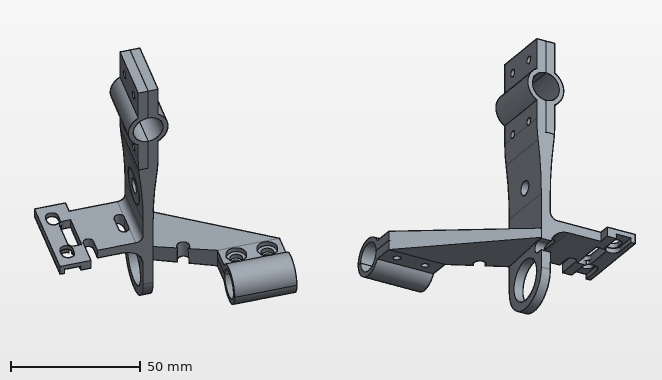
import cadquery as cq
import math


plate_width = 25.0
plate_thickness = 4.0
ring_bore = 17.5
half_width = plate_width / 2
half_thickness = plate_thickness / 2
total_height = 111.8
plate_top = total_height - half_width

head_thickness = 2 * plate_thickness
half_head = head_thickness / 2
flare_start = 32.2
flare_bend = 55.3
flare_end = 64.5

flare_share = (flare_bend - flare_start) / (flare_end - flare_start)
flare_growth = half_head - half_thickness

tube_bore = 12.0
tube_outer = 16.0
screw_hole = 3.0
screw_spacing = 12.5
head_tube_z = 79.4
head_screw_offset = 13.4
head_cap_bottom = 59.5

seat_diameter = 15.0
seat_hole = 6.0
seat_z = 40.1

shelf_top = 22.1
shelf_bottom = shelf_top - plate_thickness
front_y = -37.0
bar_length = 35.0
bar_depth = 12.5
upper_fillet = 3.0
lower_fillet = 8.0
bar_back_y = front_y + bar_depth

tie_slot_length = 10.3
tie_slot_width = 4.0
side_notch_width = 4.0
side_notch_depth = 7.5
window_length = 15.0
window_depth = 5.0
window_front_y = -30.4
window_corner = 2.0
oval_length = 7.0
oval_width = 5.0
oval_x = 10.0
oval_y = -31.9
recess_width = 6.5
recess_depth = 2.0
recess_end_x = 9.3

notch_width = 5.0
plate_notch_depth = 5.0
arm_notch_x = 15.6
arm_notch_y = 13.2

arm_end_y = 50.1
arm_block_x = 22.2
arm_tube_x = 38.1
arm_z = 15.0
arm_screw_x = 26.7
arm_seat_diameter = 8.0
arm_seat_depth = 2.0
arm_pocket_diameter = 5.0
arm_block_front_y = arm_end_y - plate_width
arm_screw_y = arm_end_y - half_width

arm_start_half = half_thickness
arm_end_half = half_head
arm_tilt = math.atan2(arm_end_half - arm_start_half, arm_block_x + half_width)


def box(x_range, y_range, z_range):
    """Box between the given limits."""
    sizes = [high - low for low, high in (x_range, y_range, z_range)]
    corner = (x_range[0], y_range[0], z_range[0])
    return cq.Workplane(cq.Solid.makeBox(*sizes, cq.Vector(*corner)))


def cylinder(diameter, start, direction, length):
    """Round bar from a start point along a direction."""
    return cq.Workplane(
        cq.Solid.makeCylinder(diameter / 2, length, cq.Vector(*start), cq.Vector(*direction))
    )


def slot(length, width, x, y, z_range):
    """Round-ended slot along X, cut vertically."""
    low, high = z_range
    return (
        cq.Workplane("XY", origin=(x, y, low))
        .slot2D(length, width)
        .extrude(high - low)
    )


def plate():
    """Plate with rounded foot and flared head, extruded from one profile in YZ."""
    bend_y = half_thickness + flare_share * flare_growth
    profile = (
        cq.Workplane("YZ", origin=(-half_width, 0, 0))
        .moveTo(-half_thickness, -half_width)
        .lineTo(half_thickness, -half_width)
        .lineTo(half_thickness, flare_start)
        .tangentArcPoint((bend_y, flare_bend), relative=False)
        .tangentArcPoint((half_head, flare_end), relative=False)
        .lineTo(half_head, plate_top)
        .lineTo(-half_head, plate_top)
        .lineTo(-half_head, flare_end)
        .tangentArcPoint((-bend_y, flare_bend), relative=False)
        .tangentArcPoint((-half_thickness, flare_start), relative=False)
        .close()
        .extrude(plate_width)
    )
    below_ring = box((-half_width, half_width), (-half_thickness, half_thickness), (-half_width, 0))
    foot = cylinder(plate_width, (0, -half_thickness, 0), (0, 1, 0), plate_thickness)
    tube = cylinder(tube_outer, (-half_width, 0, head_tube_z), (1, 0, 0), plate_width)
    return profile.cut(below_ring).union(foot).union(tube)


def plate_openings():
    """Ring bore, round seat with its hole and the cable notch in the left edge."""
    reach = head_thickness
    ring = cylinder(ring_bore, (0, -reach, 0), (0, 1, 0), 2 * reach)
    seat = cylinder(seat_diameter, (0, -half_thickness, seat_z), (0, -1, 0), reach)
    hole = cylinder(seat_hole, (0, -reach, seat_z), (0, 1, 0), 2 * reach)
    notch_z = shelf_bottom - lower_fillet
    notch = (
        cq.Workplane("XZ", origin=(-half_width, reach, notch_z))
        .slot2D(2 * plate_notch_depth, notch_width)
        .extrude(2 * reach)
    )
    return ring.union(seat).union(hole).union(notch)


def shelf():
    """Horizontal shelf with its wide front bar, filleted into the plate above and below."""
    upper_y = -half_thickness - upper_fillet
    lower_y = -half_thickness - lower_fillet
    upper_z = shelf_top + upper_fillet
    lower_z = shelf_bottom - lower_fillet
    flange = (
        cq.Workplane("YZ", origin=(-half_width, 0, 0))
        .moveTo(0, upper_z)
        .lineTo(-half_thickness, upper_z)
        .radiusArc((upper_y, shelf_top), upper_fillet)
        .lineTo(front_y, shelf_top)
        .lineTo(front_y, shelf_bottom)
        .lineTo(lower_y, shelf_bottom)
        .tangentArcPoint((-half_thickness, lower_z), relative=False)
        .lineTo(0, lower_z)
        .close()
        .extrude(plate_width)
    )
    bar = box(
        (-bar_length / 2, bar_length / 2), (front_y, bar_back_y), (shelf_bottom, shelf_top)
    )
    return flange.union(bar)


def shelf_openings():
    """Tie slot, side notch, window, oval holes and the open-ended recesses below them."""
    depth = (shelf_bottom - lower_fillet, shelf_top)
    tie_y = -half_thickness - upper_fillet - tie_slot_width / 2
    openings = slot(tie_slot_length, tie_slot_width, 0, tie_y, depth)

    notch_y = bar_back_y + side_notch_width / 2
    notch_depth = (shelf_bottom, shelf_top)
    openings = openings.union(
        slot(2 * side_notch_depth, side_notch_width, half_width, notch_y, notch_depth)
    )

    window = box(
        (-window_length / 2, window_length / 2),
        (window_front_y, window_front_y + window_depth),
        (shelf_bottom, shelf_top),
    )
    openings = openings.union(window.edges("|Z and <Y").fillet(window_corner))

    recess_length = bar_length - 2 * recess_end_x + recess_width
    recess_levels = (shelf_bottom, shelf_bottom + recess_depth)
    for side in (-1, 1):
        oval = slot(oval_length, oval_width, side * oval_x, oval_y, (shelf_bottom, shelf_top))
        recess = slot(recess_length, recess_width, side * bar_length / 2, oval_y, recess_levels)
        openings = openings.union(oval).union(recess)
    return openings


def side_arm():
    """Slanting wedge arm that ends in a tube clamp along Y."""
    wedge = (
        cq.Workplane("XZ", origin=(0, arm_end_y, arm_z))
        .moveTo(-half_width, -arm_start_half)
        .lineTo(arm_block_x, -arm_end_half)
        .lineTo(arm_block_x, arm_end_half)
        .lineTo(-half_width, arm_start_half)
        .close()
        .extrude(arm_end_y)
    )
    plan = (
        cq.Workplane("XY", origin=(0, 0, arm_z - arm_end_half))
        .moveTo(-half_width, half_thickness)
        .lineTo(half_width, half_thickness)
        .lineTo(arm_block_x, arm_block_front_y)
        .lineTo(arm_block_x, arm_end_y)
        .close()
        .extrude(head_thickness)
    )
    block = box(
        (arm_block_x, arm_tube_x),
        (arm_block_front_y, arm_end_y),
        (arm_z - arm_end_half, arm_z + arm_end_half),
    )
    tube = cylinder(tube_outer, (arm_tube_x, arm_block_front_y, arm_z), (0, 1, 0), plate_width)
    return wedge.intersect(plan).union(block).union(tube)


def arm_openings():
    """Tube bore, stepped screw holes, and the cable notch square to the sloping top face."""
    openings = cylinder(
        tube_bore, (arm_tube_x, arm_block_front_y, arm_z), (0, 1, 0), plate_width
    )
    top = arm_z + arm_end_half
    steps = (
        (screw_hole, head_thickness),
        (arm_pocket_diameter, arm_end_half),
        (arm_seat_diameter, arm_seat_depth),
    )
    for side in (-1, 1):
        y = arm_screw_y + side * screw_spacing / 2
        for diameter, depth in steps:
            openings = openings.union(cylinder(diameter, (arm_screw_x, y, top), (0, 0, -1), depth))

    top_at_notch = arm_z + arm_end_half - (arm_block_x - arm_notch_x) * math.tan(arm_tilt)
    down = cq.Vector(math.sin(arm_tilt), 0, -math.cos(arm_tilt))
    centre = cq.Vector(arm_notch_x, arm_notch_y, top_at_notch)
    start = centre - down * plate_thickness
    notch = cylinder(notch_width, start.toTuple(), down.toTuple(), 4 * plate_thickness)
    return openings.union(notch)


def head_openings():
    """Tube bore and four screw holes through the head of the plate."""
    openings = cylinder(tube_bore, (-half_width, 0, head_tube_z), (1, 0, 0), plate_width)
    for x in (-screw_spacing / 2, screw_spacing / 2):
        for z in (head_tube_z - head_screw_offset, head_tube_z + head_screw_offset):
            hole = cylinder(screw_hole, (x, -head_thickness, z), (0, 1, 0), 2 * head_thickness)
            openings = openings.union(hole)
    return openings


def head_cap_space():
    """Front half of the head clamp."""
    return box((-half_width, half_width), (-tube_outer, 0), (head_cap_bottom, plate_top))


def arm_cap_space():
    """Lower half of the arm clamp."""
    return box(
        (arm_block_x, arm_tube_x + tube_outer),
        (arm_block_front_y, arm_end_y),
        (arm_z - tube_outer, arm_z),
    )


plate_with_head = plate().cut(plate_openings()).cut(head_openings())
arm = side_arm().cut(arm_openings())

head_cap = plate_with_head.intersect(head_cap_space())
arm_cap = arm.intersect(arm_cap_space())
bracket = (
    plate_with_head.cut(head_cap_space())
    .union(shelf().cut(plate_openings()).cut(shelf_openings()))
    .union(arm.cut(arm_cap_space()))
)

result = cq.Compound.makeCompound([bracket.val(), head_cap.val(), arm_cap.val()])